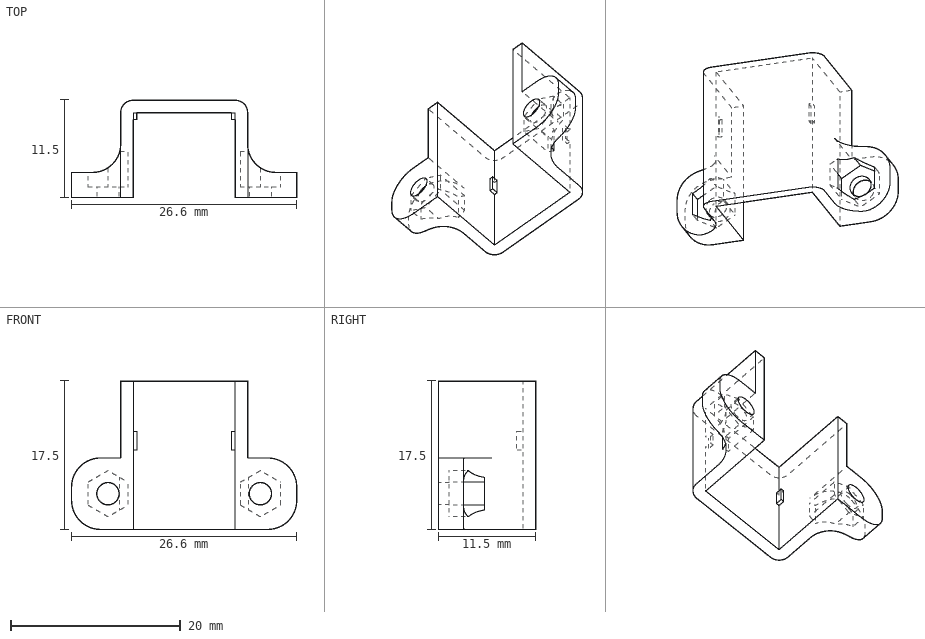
import cadquery as cq
import math

length = 26.6
depth = 11.5
height = 17.5

channel_width = 15.0
back_wall = 1.5
outer_corner_radius = 1.45
inner_width = 12.0
inner_back = depth - back_wall

ear_height = 8.45
ear_thickness = 2.98
ear_corner_radius = 3.45
root_fillet_radius = 3.3
screw_diameter = 2.6
screw_x = 9.0
screw_z = ear_height / 2

nut_across_flats = 4.7
nut_across_corners = nut_across_flats / math.cos(math.pi / 6)
nut_floor = 1.22
nut_top = 5.45

tab_width = 0.43
tab_depth = 0.8
tab_height = 2.23
tab_bottom = 9.35


def make_channel():
    outer = (
        cq.Workplane("XY")
        .rect(channel_width, depth)
        .extrude(height)
        .translate((0, depth / 2, 0))
        .edges("|Z and >Y")
        .fillet(outer_corner_radius)
    )
    cavity = (
        cq.Workplane("XY")
        .rect(inner_width, inner_back)
        .extrude(height)
        .translate((0, inner_back / 2, 0))
    )
    return outer.cut(cavity)


def make_ear():
    """Ear on the +X side, with a concave root blending into the channel wall."""
    outer_wall = channel_width / 2
    inner_wall = inner_width / 2
    root_top = ear_thickness + root_fillet_radius
    arc_offset = root_fillet_radius * (1 - math.sqrt(0.5))
    return (
        cq.Workplane("XY")
        .moveTo(inner_wall, 0)
        .lineTo(length / 2, 0)
        .lineTo(length / 2, ear_thickness)
        .lineTo(outer_wall + root_fillet_radius, ear_thickness)
        .threePointArc(
            (outer_wall + arc_offset, ear_thickness + arc_offset),
            (outer_wall, root_top),
        )
        .lineTo(inner_wall, root_top)
        .close()
        .extrude(ear_height)
        .edges(">X and |Y")
        .fillet(ear_corner_radius)
    )


def make_ear_cutter():
    """Screw hole through the ear, opening into a nut pocket with flats facing X."""
    hole = (
        cq.Workplane("XZ")
        .center(screw_x, screw_z)
        .circle(screw_diameter / 2)
        .extrude(-nut_top)
    )
    pocket = (
        cq.Workplane("XZ", origin=(screw_x, nut_floor, screw_z))
        .transformed(rotate=(0, 0, 90))
        .polygon(6, nut_across_corners)
        .extrude(nut_floor - nut_top)
    )
    return hole.union(pocket)


def make_tab():
    corner = (inner_width / 2 - tab_width, inner_back - tab_depth, tab_bottom)
    return cq.Workplane("XY").box(tab_width, tab_depth, tab_height, centered=False).translate(corner)


def both_sides(feature):
    return feature.union(feature.mirror("YZ"))


result = make_channel().union(both_sides(make_ear()))
result = result.cut(both_sides(make_ear_cutter()))
result = result.union(both_sides(make_tab()))